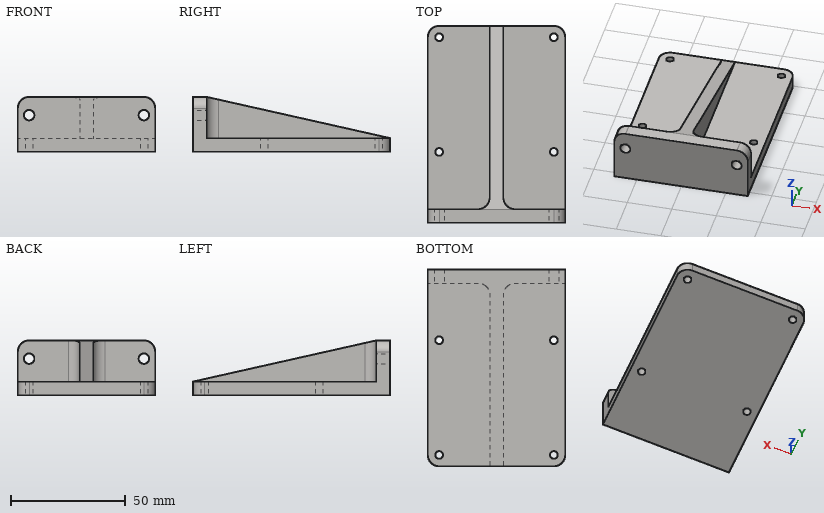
import cadquery as cq

length = 86.0
width = 60.0
height = 24.0

thickness = 6.0
corner_radius = 5.0

hole_inset = 5.0
hole_pitch = width - 2 * hole_inset
plate_hole_diameter = 3.3
wall_hole_diameter = 4.5
wall_hole_height = 16.0

hole_x_positions = (-hole_pitch / 2, hole_pitch / 2)
plate_hole_back_y = length - hole_inset


def make_base_plate():
    """Flat plate with its two back corners rounded."""
    plate = cq.Workplane("XY").box(width, length, thickness, centered=(True, False, False))
    return plate.edges("|Z and >Y").fillet(corner_radius)


def make_front_wall():
    """Upright wall with its two top corners rounded."""
    wall = cq.Workplane("XY").box(width, thickness, height, centered=(True, False, False))
    return wall.edges("|Y and >Z").fillet(corner_radius)


def make_rib():
    """Central sloping rib that flares with concave fillets into the front wall."""
    half_rib = thickness / 2
    flare_half_width = half_rib + corner_radius
    flare_end_y = thickness + corner_radius
    footprint = (
        cq.Workplane("XY")
        .moveTo(-flare_half_width, thickness)
        .lineTo(flare_half_width, thickness)
        .radiusArc((half_rib, flare_end_y), corner_radius)
        .lineTo(half_rib, length)
        .lineTo(-half_rib, length)
        .lineTo(-half_rib, flare_end_y)
        .radiusArc((-flare_half_width, thickness), corner_radius)
        .close()
        .extrude(height)
    )
    wedge = (
        cq.Workplane("YZ")
        .polyline([(thickness, thickness), (length, thickness), (thickness, height)])
        .close()
        .extrude(flare_half_width, both=True)
    )
    return footprint.intersect(wedge)


def make_plate_holes():
    """Four through holes on a square pattern in the base plate."""
    points = [
        (x, y)
        for x in hole_x_positions
        for y in (plate_hole_back_y - hole_pitch, plate_hole_back_y)
    ]
    return cq.Workplane("XY").pushPoints(points).circle(plate_hole_diameter / 2).extrude(thickness)


def make_wall_holes():
    """Two through holes in the front wall."""
    points = [(x, wall_hole_height) for x in hole_x_positions]
    return cq.Workplane("XZ").pushPoints(points).circle(wall_hole_diameter / 2).extrude(-thickness)


bracket = make_base_plate().union(make_front_wall()).union(make_rib())
result = bracket.cut(make_plate_holes()).cut(make_wall_holes())